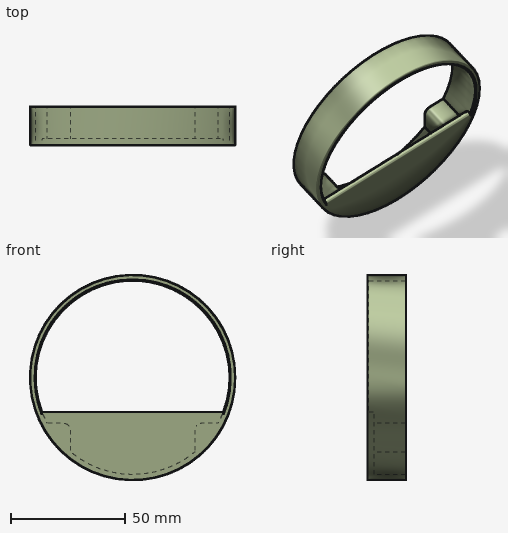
import cadquery as cq

outer_diameter = 90.0
ring_depth = 17.0
wall = 2.5
front_edge_radius = 0.5

plate_top_z = -15.0
plate_thickness = 3.0
plate_edge_radius = 1.0

block_top_z = -20.0
block_inner_x = 27.3
block_corner_radius = 3.2

outer_radius = outer_diameter / 2
inner_radius = outer_radius - wall
seat_radius = outer_radius - wall / 2
front_y = -ring_depth / 2
back_y = ring_depth / 2


def disc(radius, y_start, y_end):
    """Solid disc on the Y axis between two Y positions."""
    face = cq.Workplane("XZ", origin=(0, y_end, 0)).circle(radius)
    return face.extrude(y_end - y_start)


def box_between(x_range, y_range, z_range):
    """Axis-aligned box given by its limits on each axis."""
    sizes = [high - low for low, high in (x_range, y_range, z_range)]
    corner = (x_range[0], y_range[0], z_range[0])
    return cq.Workplane("XY").box(*sizes, centered=False).translate(corner)


def make_ring():
    ring = disc(outer_radius, front_y, back_y).cut(disc(inner_radius, front_y, back_y))
    return ring.faces("<Y").edges().fillet(front_edge_radius)


def make_plate():
    plate_back_y = front_y + plate_thickness
    slab = box_between(
        (-outer_radius, outer_radius),
        (front_y, plate_back_y),
        (-outer_radius, plate_top_z),
    )
    slab = slab.faces(">Z").edges("|X").fillet(plate_edge_radius)
    return slab.intersect(disc(seat_radius, front_y, plate_back_y))


def make_block():
    """Block on the +X side, rounded at its upper inner corner."""
    block = box_between(
        (block_inner_x, outer_radius),
        (front_y + plate_thickness, back_y),
        (-outer_radius, block_top_z),
    )
    block = block.faces(">Z").edges("<X").fillet(block_corner_radius)
    return block.intersect(disc(seat_radius, front_y, back_y))


block = make_block()
result = make_ring().union(make_plate()).union(block).union(block.mirror("YZ"))